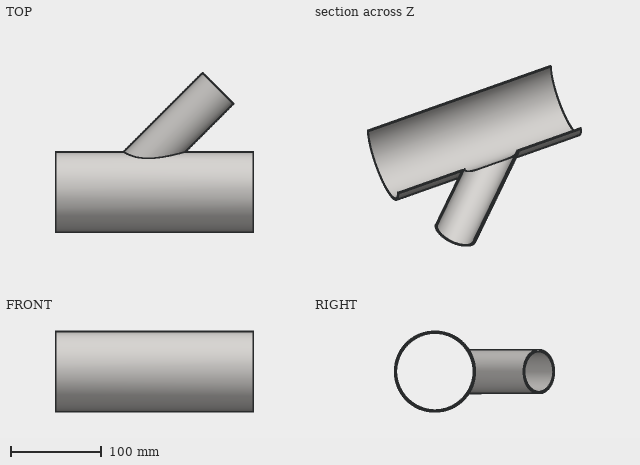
import cadquery as cq
import math

MAIN_LENGTH = 218.0
MAIN_OUTER_DIAMETER = 88.9
WALL = 2.0

BRANCH_OUTER_DIAMETER = 48.3
BRANCH_ANGLE = 45.0
BRANCH_LENGTH = 162.0
BRANCH_START_X = 64.5


def main_cylinder(diameter):
    """Solid cylinder over the full length of the main pipe."""
    return cq.Workplane("YZ").circle(diameter / 2).extrude(MAIN_LENGTH)


def branch_cylinder(diameter):
    """Solid cylinder from the main axis to the square-cut branch end."""
    angle = math.radians(BRANCH_ANGLE)
    plane = cq.Plane(
        origin=(BRANCH_START_X, 0, 0),
        xDir=(0, 0, 1),
        normal=(math.cos(angle), math.sin(angle), 0),
    )
    return cq.Workplane(plane).circle(diameter / 2).extrude(BRANCH_LENGTH)


outside = main_cylinder(MAIN_OUTER_DIAMETER).union(branch_cylinder(BRANCH_OUTER_DIAMETER))

main_bore = main_cylinder(MAIN_OUTER_DIAMETER - 2 * WALL)
branch_bore = branch_cylinder(BRANCH_OUTER_DIAMETER - 2 * WALL)

result = outside.cut(main_bore).cut(branch_bore)